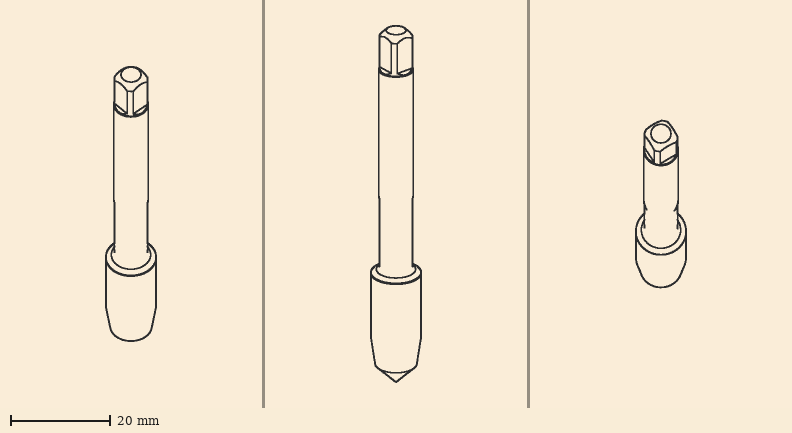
import cadquery as cq

TOTAL_LENGTH = 79.45
HEAD_DIAMETER = 10.2

POINT_DIAMETER = 8.5
POINT_HEIGHT = POINT_DIAMETER / 2
LEAD_TOP_Z = 10.2
HEAD_TOP_Z = 24.6

COLLAR_BAND_HEIGHT = 0.2
COLLAR_TOP_DIAMETER = 7.95
COLLAR_TAPER_HEIGHT = 0.6
NECK_DIAMETER = 6.7
BLEND_RADIUS = (COLLAR_TOP_DIAMETER - NECK_DIAMETER) / 2

SHANK_DIAMETER = 7.0
SHANK_TAPER_BOTTOM_Z = 41.3
SHANK_TAPER_TOP_Z = 42.0
SHANK_TOP_Z = 70.7
SHANK_CHAMFER = 0.12

DRIVE_CORNER_DIAMETER = SHANK_DIAMETER - 2 * SHANK_CHAMFER
DRIVE_WIDTH = 5.6
FLAT_BOTTOM_Z = 71.3
DRIVE_TOP_DIAMETER = 4.05
DRIVE_CHAMFER = (DRIVE_CORNER_DIAMETER - DRIVE_TOP_DIAMETER) / 2


def revolve_about_z(outline):
    """Turn a closed (radius, z) outline into a solid of revolution."""
    return outline.close().revolve(360, (0, 0, 0), (0, 1, 0))


def make_cutting_head():
    """Pointed head with a tapered lead below its cylinder."""
    outline = (
        cq.Workplane("XZ")
        .lineTo(POINT_DIAMETER / 2, POINT_HEIGHT)
        .lineTo(HEAD_DIAMETER / 2, LEAD_TOP_Z)
        .lineTo(HEAD_DIAMETER / 2, HEAD_TOP_Z)
        .lineTo(0, HEAD_TOP_Z)
    )
    return revolve_about_z(outline)


def make_turned_shank():
    """Collar, neck, shank and the round blank of the drive."""
    band_top_z = HEAD_TOP_Z + COLLAR_BAND_HEIGHT
    collar_top_z = band_top_z + COLLAR_TAPER_HEIGHT
    outline = (
        cq.Workplane("XZ")
        .moveTo(0, HEAD_TOP_Z)
        .lineTo(HEAD_DIAMETER / 2, HEAD_TOP_Z)
        .lineTo(HEAD_DIAMETER / 2, band_top_z)
        .lineTo(COLLAR_TOP_DIAMETER / 2, collar_top_z)
        .radiusArc((NECK_DIAMETER / 2, collar_top_z + BLEND_RADIUS), BLEND_RADIUS)
        .lineTo(NECK_DIAMETER / 2, SHANK_TAPER_BOTTOM_Z)
        .lineTo(SHANK_DIAMETER / 2, SHANK_TAPER_TOP_Z)
        .lineTo(SHANK_DIAMETER / 2, SHANK_TOP_Z - SHANK_CHAMFER)
        .lineTo(DRIVE_CORNER_DIAMETER / 2, SHANK_TOP_Z)
        .lineTo(DRIVE_CORNER_DIAMETER / 2, TOTAL_LENGTH - DRIVE_CHAMFER)
        .lineTo(DRIVE_TOP_DIAMETER / 2, TOTAL_LENGTH)
        .lineTo(0, TOTAL_LENGTH)
    )
    return revolve_about_z(outline)


def make_flat_cutter():
    """Material outside one drive flat, with a 45 degree run-out at its foot."""
    flat_x = DRIVE_WIDTH / 2
    reach = HEAD_DIAMETER / 2
    return (
        cq.Workplane("XZ")
        .moveTo(flat_x, TOTAL_LENGTH)
        .lineTo(flat_x, FLAT_BOTTOM_Z)
        .lineTo(reach, FLAT_BOTTOM_Z - (reach - flat_x))
        .lineTo(reach, TOTAL_LENGTH)
        .close()
        .extrude(HEAD_DIAMETER / 2, both=True)
    )


def make_shank():
    """Turned shank with four flats forming the square drive."""
    shank = make_turned_shank()
    for angle in (0, 90, 180, 270):
        shank = shank.cut(make_flat_cutter().rotate((0, 0, 0), (0, 0, 1), angle))
    return shank


cutting_head = make_cutting_head()
shank = make_shank()

result = cq.Compound.makeCompound([cutting_head.val(), shank.val()])